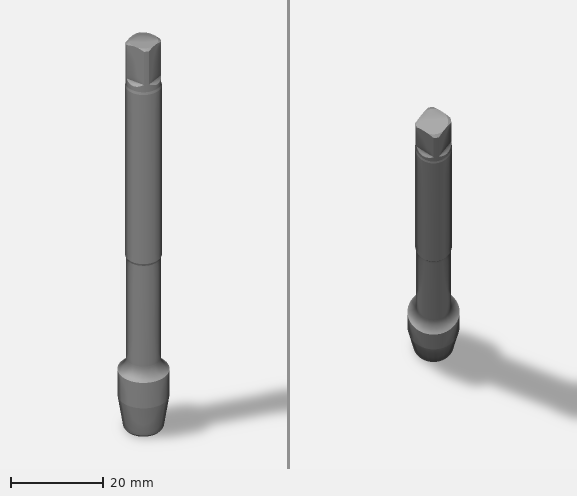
import cadquery as cq
import math

total_length = 100.0

head_diameter = 11.3
head_top_z = 15.0
lead_top_z = 8.4
lead_tip_diameter = 8.9
tip_chamfer_height = 0.6
tip_diameter = 8.0

neck_diameter = 7.5
neck_blend_top_z = 18.0
shank_diameter = 8.0
shank_bottom_z = 44.7
shank_top_z = 88.5
shank_chamfer_height = 0.6

square_side = 6.2
square_length = 9.0
square_round_diameter = 7.7
end_face_diameter = 6.3
end_chamfer_height = 0.4


def make_head():
    """Cutting head: a cylinder above a tapered lead with a chamfered tip."""
    return (
        cq.Workplane("XZ")
        .lineTo(tip_diameter / 2, 0)
        .lineTo(lead_tip_diameter / 2, tip_chamfer_height)
        .lineTo(head_diameter / 2, lead_top_z)
        .lineTo(head_diameter / 2, head_top_z)
        .lineTo(0, head_top_z)
        .close()
        .revolve(360, (0, 0, 0), (0, 1, 0))
    )


def make_turned_shank():
    """Revolved shank, from the flared foot on the head to the chamfered drive end."""
    foot_radius = head_diameter / 2
    neck_radius = neck_diameter / 2
    shank_radius = shank_diameter / 2
    round_radius = square_round_diameter / 2

    flare_width = foot_radius - neck_radius
    flare_height = neck_blend_top_z - head_top_z
    flare_radius = (flare_width**2 + flare_height**2) / (2 * flare_width)
    middle_angle = math.asin(flare_height / flare_radius) / 2
    flare_middle = (
        neck_radius + flare_radius * (1 - math.cos(middle_angle)),
        neck_blend_top_z - flare_radius * math.sin(middle_angle),
    )

    return (
        cq.Workplane("XZ")
        .moveTo(0, head_top_z)
        .lineTo(foot_radius, head_top_z)
        .threePointArc(flare_middle, (neck_radius, neck_blend_top_z))
        .lineTo(neck_radius, shank_bottom_z - shank_chamfer_height)
        .lineTo(shank_radius, shank_bottom_z)
        .lineTo(shank_radius, shank_top_z)
        .lineTo(round_radius, shank_top_z + shank_chamfer_height)
        .lineTo(round_radius, total_length - end_chamfer_height)
        .lineTo(end_face_diameter / 2, total_length)
        .lineTo(0, total_length)
        .close()
        .revolve(360, (0, 0, 0), (0, 1, 0))
    )


def make_flat_cutter():
    """Prism that cuts the +X flat of the square, with a 45 degree run-out at its lower end."""
    flat_x = square_side / 2
    flat_bottom_z = total_length - square_length
    cutter_depth = shank_diameter - flat_x
    return (
        cq.Workplane("XZ")
        .moveTo(flat_x, total_length)
        .lineTo(flat_x, flat_bottom_z)
        .lineTo(flat_x + cutter_depth, flat_bottom_z - cutter_depth)
        .lineTo(flat_x + cutter_depth, total_length)
        .close()
        .extrude(shank_diameter, both=True)
    )


def make_shank():
    """Turned shank with four flats forming the driving square."""
    shank = make_turned_shank()
    for side in range(4):
        shank = shank.cut(make_flat_cutter().rotate((0, 0, 0), (0, 0, 1), 90 * side))
    return shank


head = make_head()
shank = make_shank()

result = cq.Compound.makeCompound([head.val(), shank.val()])